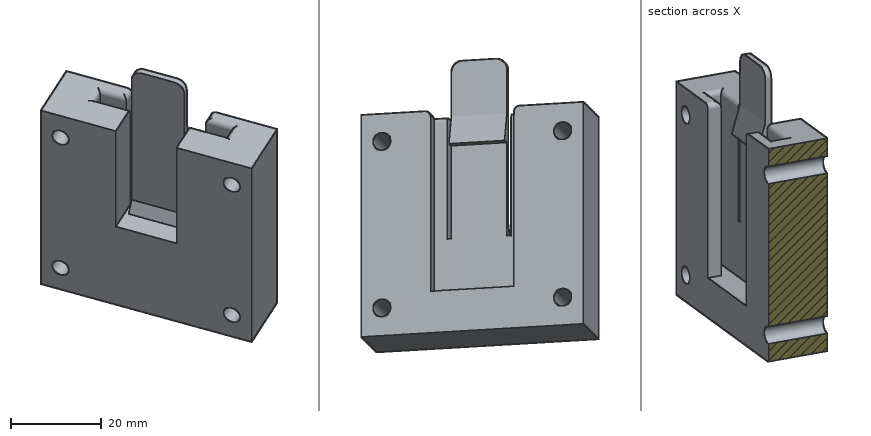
import cadquery as cq

block_width = 50.8
block_depth = 14.6
block_height = 50.8

slot_depth = 6.35
lip_depth = 3.3
neck_width = 19.05
head_width = 31.75
mouth_radius = 1.3
slot_floor = (block_width - head_width) / 2

window_width = 14.6
window_height = 27.95
window_floor = block_height - window_height

tongue_width = 12.7
tongue_thickness = 1.5
tongue_top = 63.5
tongue_corner_radius = 2.55
ramp_height = 2.85
front_ramp_depth = 1.65

catch_depth = 2.05
catch_height = 6.65
catch_top = block_height

hole_diameter = 4.0
hole_side_inset = 4.75
hole_end_inset = 6.35


def make_block():
    return cq.Workplane("XY").box(
        block_width, block_depth, block_height, centered=(True, False, False)
    ).translate((0, -block_depth, 0))


def cut_t_slot(body):
    half_neck = neck_width / 2
    half_head = head_width / 2
    outline = [
        (-half_neck, 0),
        (-half_neck, -lip_depth),
        (-half_head, -lip_depth),
        (-half_head, -slot_depth),
        (half_head, -slot_depth),
        (half_head, -lip_depth),
        (half_neck, -lip_depth),
        (half_neck, 0),
    ]
    slot = (
        cq.Workplane("XY", origin=(0, 0, slot_floor))
        .polyline(outline)
        .close()
        .extrude(block_height - slot_floor)
    )
    body = body.cut(slot)
    mouth_margin = 0.65
    mouth = cq.selectors.BoxSelector(
        (-half_head - mouth_margin, -slot_depth - mouth_margin, block_height - mouth_margin),
        (half_head + mouth_margin, -mouth_margin, block_height + mouth_margin),
    )
    return body.edges(mouth).fillet(mouth_radius)


def cut_window(body):
    window = cq.Workplane("XY").box(
        window_width, block_depth, window_height, centered=(True, False, False)
    ).translate((0, -block_depth, window_floor))
    return body.cut(window)


def make_tongue():
    tongue_back = -slot_depth
    tongue_front = tongue_back - tongue_thickness
    catch_bottom = catch_top - catch_height
    profile = [
        (tongue_front - front_ramp_depth, window_floor),
        (tongue_front, window_floor + ramp_height),
        (tongue_front, tongue_top),
        (tongue_back, tongue_top),
        (tongue_back, catch_top),
        (tongue_back + catch_depth, catch_bottom),
        (tongue_back, catch_bottom),
        (tongue_back, window_floor),
    ]
    tongue = cq.Workplane("YZ").polyline(profile).close().extrude(tongue_width / 2, both=True)
    return tongue.faces(">Z").edges("|Y").fillet(tongue_corner_radius)


def cut_mounting_holes(body):
    hole_spacing_x = block_width - 2 * hole_side_inset
    hole_spacing_z = block_height - 2 * hole_end_inset
    holes = (
        cq.Workplane("XZ", origin=(0, 0, block_height / 2))
        .rect(hole_spacing_x, hole_spacing_z, forConstruction=True)
        .vertices()
        .circle(hole_diameter / 2)
        .extrude(block_depth)
    )
    return body.cut(holes)


body = cut_t_slot(make_block())
body = cut_window(body)
body = cut_mounting_holes(body)
result = body.union(make_tongue())